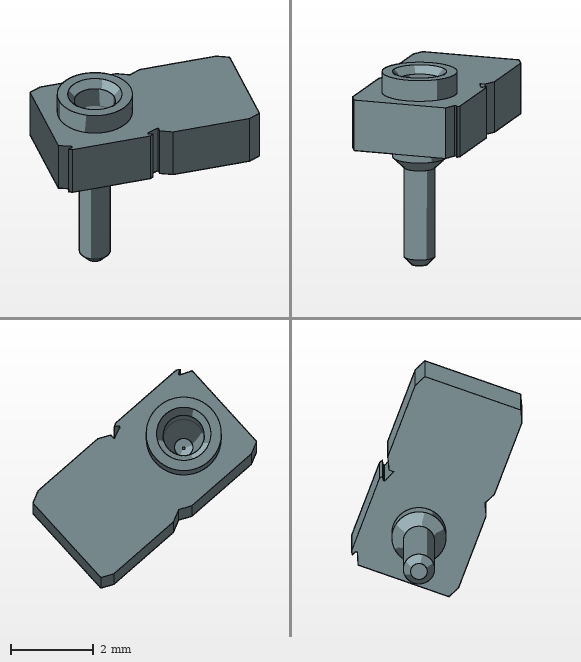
import cadquery as cq

pitch = 2.54
half_width = 2.77 / 2
housing_height = 1.27
corner_inset = 0.14
corner_length = 0.3
key_inset = 0.27
key_groove_floor = 0.035
lip_inset = 0.05
lip_height = 0.105
lip_shoulder = 0.02
lip_bulge = 0.0075

collar_diameter = 1.83
collar_height = 0.52
shank_diameter = 1.32
shank_projection = 0.345
shoulder_height = 0.27
tail_diameter = 0.76
tail_length = 2.235
tip_diameter = 0.405
tip_height = 0.195

mouth_diameter = 1.32
mouth_depth = 0.195
bore_diameter = 1.0
bore_depth = 0.69
throat_diameter = 0.445
throat_depth = 1.625
bottom_diameter = 0.06
bottom_depth = 1.725

front_y = -pitch / 2
middle_y = pitch / 2
rear_y = middle_y + pitch
inset_x = half_width - corner_inset


def make_rear_module():
    """Plain module: a rectangle with its four corners cut."""
    return (
        cq.Workplane("XY")
        .moveTo(-inset_x, middle_y)
        .lineTo(inset_x, middle_y)
        .lineTo(half_width, middle_y + corner_length)
        .lineTo(half_width, rear_y - corner_length)
        .lineTo(inset_x, rear_y)
        .lineTo(-inset_x, rear_y)
        .lineTo(-half_width, rear_y - corner_length)
        .lineTo(-half_width, middle_y + corner_length)
        .close()
        .extrude(housing_height)
    )


def make_front_module():
    """Module with deeper, hooked corner cuts on its +X side, mirrored about the X axis."""
    key_x = half_width - key_inset
    floor_end_x = inset_x + key_groove_floor
    floor_y = middle_y - corner_length
    lip_x = half_width - lip_inset
    lip_y = floor_y + lip_height
    flank_x = (floor_end_x + lip_x) / 2 + lip_bulge
    flank_y = floor_y + lip_height / 2
    shoulder_y = floor_y + lip_shoulder
    return (
        cq.Workplane("XY")
        .moveTo(-inset_x, front_y)
        .lineTo(key_x, front_y)
        .lineTo(inset_x, -floor_y)
        .lineTo(floor_end_x, -floor_y)
        .threePointArc((flank_x, -flank_y), (lip_x, -lip_y))
        .lineTo(half_width, -shoulder_y)
        .lineTo(half_width, shoulder_y)
        .lineTo(lip_x, lip_y)
        .threePointArc((flank_x, flank_y), (floor_end_x, floor_y))
        .lineTo(inset_x, floor_y)
        .lineTo(key_x, middle_y)
        .lineTo(-inset_x, middle_y)
        .lineTo(-half_width, floor_y)
        .lineTo(-half_width, -floor_y)
        .close()
        .extrude(housing_height)
    )


def make_housing():
    """Both modules joined, with the through hole that carries the pin shank."""
    pin_hole = cq.Workplane("XY").circle(shank_diameter / 2).extrude(housing_height)
    return make_front_module().union(make_rear_module()).cut(pin_hole)


def make_pin():
    """Half profile revolved about Z: outside from top to tip, then the socket from bottom to mouth."""
    top_z = housing_height + collar_height
    shoulder_z = -shank_projection
    tail_z = shoulder_z - shoulder_height
    tip_z = tail_z - tail_length
    end_z = tip_z - tip_height
    profile = [
        (mouth_diameter / 2, top_z),
        (collar_diameter / 2, top_z),
        (collar_diameter / 2, housing_height),
        (shank_diameter / 2, housing_height),
        (shank_diameter / 2, shoulder_z),
        (tail_diameter / 2, tail_z),
        (tail_diameter / 2, tip_z),
        (tip_diameter / 2, end_z),
        (0, end_z),
        (0, top_z - bottom_depth),
        (bottom_diameter / 2, top_z - bottom_depth),
        (throat_diameter / 2, top_z - throat_depth),
        (bore_diameter / 2, top_z - bore_depth),
        (bore_diameter / 2, top_z - mouth_depth),
    ]
    return cq.Workplane("XZ").polyline(profile).close().revolve(360, (0, 0), (0, 1))


housing = make_housing()
pin = make_pin()
result = cq.Compound.makeCompound([housing.val(), pin.val()])